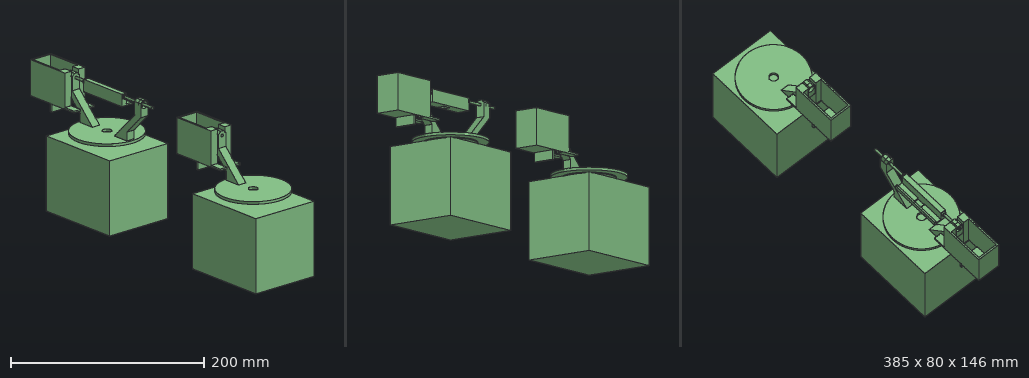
import cadquery as cq

TOTAL_LENGTH = 385.0
TOTAL_HEIGHT = 146.0

BASE_LENGTH = 100.0
BASE_WIDTH = 80.0
BASE_HEIGHT = 83.0

HOPPER_LENGTH = 54.3
CAVITY_WIDTH = 24.0
HOPPER_HEIGHT = 40.0
HOPPER_WALL = 2.0
HOPPER_END_WALL = 9.5
TONGUE_LENGTH = 14.5
LIP_THICKNESS = 2.7
LIP_DROP = 10.0
OUTLET_LENGTH = 13.0
HOPPER_START = -104.5
HOPPER_BOTTOM = TOTAL_HEIGHT - HOPPER_HEIGHT
CAVITY_LENGTH = HOPPER_LENGTH - HOPPER_WALL - HOPPER_END_WALL
HOPPER_WIDTH = CAVITY_WIDTH + 2 * HOPPER_WALL

STATION_PITCH = TOTAL_LENGTH + HOPPER_START - BASE_LENGTH / 2

DISC_DIAMETER = 80.0
DISC_THICKNESS = 3.0
DISC_TOP = 93.0
BOSS_DIAMETER = 57.0
BOSS_THICKNESS = 1.0
CENTRE_HOLE_DIAMETER = 10.0
RECESS_DIAMETER = 20.0
RECESS_DEPTH = 1.0

ARM_WIDTH = 10.0
FOOT_INNER = 17.5
FOOT_OUTER = 37.0
HEAD_INNER = 49.0
HEAD_OUTER = HEAD_INNER + ARM_WIDTH
HEAD_DROP = 2.9
HEAD_TOP = TOTAL_HEIGHT - HEAD_DROP
HEAD_CHAMFER = 2.92
HEAD_BOTTOM = DISC_TOP + HEAD_INNER - FOOT_INNER
FOOT_TOP = HEAD_BOTTOM - (HEAD_OUTER - FOOT_OUTER)
BEARING_DIAMETER = 8.0
BEARING_DEPTH = 5.0

AXLE_DIAMETER = 3.0
AXLE_OVERHANG = 13.0
AXLE_HEIGHT = HEAD_TOP - ARM_WIDTH / 2
SHOULDER_DIAMETER = 5.0
SHOULDER_LENGTH = 2.0
TRAY_START = -33.5
TRAY_LENGTH = 60.5
RAIL_WIDTH = 6.0
RAIL_HEIGHT = 14.0
RAIL_TOP = 141.2
TRAY_DEPTH = 15.0
TRAY_WALL = 2.0
BACK_WALL_HEIGHT = 5.5
WINDOW_LENGTH = 10.0


def block(x_start, x_end, y_start, y_end, z_start, z_end):
    """Box between the given limits."""
    size = (x_end - x_start, y_end - y_start, z_end - z_start)
    return cq.Workplane("XY").box(*size, centered=False).translate((x_start, y_start, z_start))


def bar(x_start, x_end, diameter):
    """Round bar along X on the axle axis."""
    plane = cq.Workplane("YZ", origin=(x_start, 0, AXLE_HEIGHT))
    return plane.circle(diameter / 2).extrude(x_end - x_start)


def make_base():
    return cq.Workplane("XY").box(BASE_LENGTH, BASE_WIDTH, BASE_HEIGHT, centered=(True, True, False))


def make_arm():
    """Arm on the +X side: foot, 45 degree strut, and a chamfered head bored for the axle."""
    outline = [
        (FOOT_INNER, DISC_TOP),
        (FOOT_OUTER, DISC_TOP),
        (FOOT_OUTER, FOOT_TOP),
        (HEAD_OUTER, HEAD_BOTTOM),
        (HEAD_OUTER, HEAD_TOP),
        (HEAD_INNER, HEAD_TOP),
        (HEAD_INNER, HEAD_BOTTOM),
    ]
    arm = cq.Workplane("XZ").polyline(outline).close().extrude(ARM_WIDTH / 2, both=True)
    arm = arm.faces(">Z").edges("|X").chamfer(HEAD_CHAMFER)
    axle_hole = bar(HEAD_INNER, HEAD_OUTER, AXLE_DIAMETER)
    bearing_pocket = bar(HEAD_OUTER - BEARING_DEPTH, HEAD_OUTER, BEARING_DIAMETER)
    return arm.cut(axle_hole).cut(bearing_pocket)


def make_disc():
    """Disc with a boss below and a centre hole that widens to a recess in the underside."""
    underside = DISC_TOP - DISC_THICKNESS - BOSS_THICKNESS
    disc = cq.Workplane("XY", origin=(0, 0, DISC_TOP)).circle(DISC_DIAMETER / 2).extrude(-DISC_THICKNESS)
    boss = cq.Workplane("XY", origin=(0, 0, underside)).circle(BOSS_DIAMETER / 2).extrude(BOSS_THICKNESS)
    recess = cq.Workplane("XY", origin=(0, 0, underside)).circle(RECESS_DIAMETER / 2).extrude(RECESS_DEPTH)
    return disc.union(boss).faces(">Z").workplane().hole(CENTRE_HOLE_DIAMETER).cut(recess)


def make_hopper():
    half_width = HOPPER_WIDTH / 2
    half_cavity = CAVITY_WIDTH / 2
    hopper_end = HOPPER_START + HOPPER_LENGTH
    tongue_end = hopper_end + TONGUE_LENGTH
    cavity_start = HOPPER_START + HOPPER_WALL
    cavity_end = cavity_start + CAVITY_LENGTH
    outlet_start = cavity_end - OUTLET_LENGTH
    floor_top = HOPPER_BOTTOM + HOPPER_WALL

    body = block(HOPPER_START, hopper_end, -half_width, half_width, HOPPER_BOTTOM, TOTAL_HEIGHT)
    tongue = block(hopper_end, tongue_end, -half_width, half_width, HOPPER_BOTTOM, floor_top)
    lip = block(
        outlet_start - LIP_THICKNESS, outlet_start, -half_cavity, half_cavity,
        HOPPER_BOTTOM - LIP_DROP, HOPPER_BOTTOM,
    )
    cavity = block(cavity_start, cavity_end, -half_cavity, half_cavity, floor_top, TOTAL_HEIGHT)
    outlet = block(outlet_start, cavity_end, -half_cavity, half_cavity, HOPPER_BOTTOM, floor_top)
    arm_slot = block(
        cavity_end, tongue_end, -ARM_WIDTH / 2, ARM_WIDTH / 2, HOPPER_BOTTOM, TOTAL_HEIGHT
    )
    return body.union(tongue).union(lip).cut(cavity).cut(outlet).cut(arm_slot)


def make_tray():
    """Rail, floor and back wall form a trough; the window passes through its floor."""
    tray_end = TRAY_START + TRAY_LENGTH
    front = -RAIL_WIDTH / 2
    rail_back = RAIL_WIDTH / 2
    back = front + TRAY_DEPTH
    bottom = RAIL_TOP - RAIL_HEIGHT
    floor_top = bottom + TRAY_WALL
    window_start = TRAY_START + (TRAY_LENGTH - WINDOW_LENGTH) / 2
    window_end = window_start + WINDOW_LENGTH

    rail = block(TRAY_START, tray_end, front, rail_back, bottom, RAIL_TOP)
    floor = block(TRAY_START, tray_end, rail_back, back, bottom, floor_top)
    back_wall = block(TRAY_START, tray_end, back - TRAY_WALL, back, bottom, bottom + BACK_WALL_HEIGHT)
    window = block(window_start, window_end, rail_back, back - TRAY_WALL, bottom, floor_top)
    shoulders = bar(TRAY_START - SHOULDER_LENGTH, tray_end + SHOULDER_LENGTH, SHOULDER_DIAMETER)
    axle = bar(-HEAD_OUTER, HEAD_OUTER + AXLE_OVERHANG, AXLE_DIAMETER)
    trough = rail.union(floor).union(back_wall).cut(window)
    return trough.union(shoulders).union(axle)


right_arm = make_arm()
left_arm = right_arm.mirror("YZ")
first_station = [make_base(), make_disc(), left_arm, right_arm, make_hopper(), make_tray()]
second_station = [make_base(), make_disc().union(left_arm), make_hopper()]

bodies = [body.val() for body in first_station]
for body in second_station:
    bodies.append(body.translate((STATION_PITCH, 0, 0)).val())

result = cq.Compound.makeCompound(bodies)